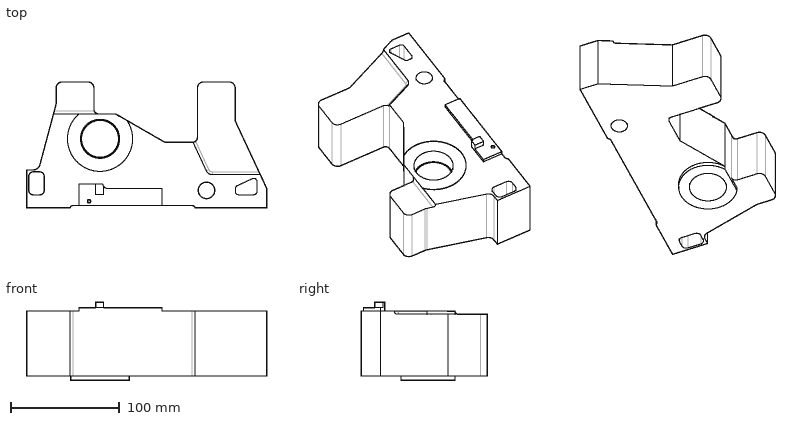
import cadquery as cq
import math

LENGTH = 221.0
DEPTH = 116.0
BODY_HEIGHT = 60.0
OVERRUN = 10.0

LEFT_SHOULDER_Y = 35.0
LEFT_SLOPE_ANGLE = 15.0
ARM_WIDTH = 35.0
LEFT_ARM_X = 27.0
RIGHT_ARM_X = 157.0
LEFT_STEP_Y = 86.5
LEFT_BEND_Y = 95.4
BACK_SLOPE_X = 81.9
BACK_SLOPE_ANGLE = 30.0
VALLEY_Y = 60.5
RIGHT_BEND_Y = 80.0
RIGHT_SLOPE_ANGLE = 25.0
ARM_TIP_RADIUS = 6.0
LEFT_SHOULDER_RADIUS = 6.0
LEFT_BEND_RADIUS = 8.0
ARM_ROOT_RADIUS = 4.0

RELIEF_X = (40.0, 155.0)
RELIEF_DEPTH = 2.0
RELIEF_RADIUS = 3.0

STEP_DEPTH = 3.0
STEP_FILLET = 2.5
RIGHT_STEP_Y = 30.5
RIGHT_STEP_CORNER_RADIUS = 6.0

BORE_CENTER = (67.5, 63.5)
BORE_DIAMETER = 36.0
BORE_LOWER_DIAMETER = 34.0
BORE_STEP_DEPTH = 15.0
SPOT_FACE_DIAMETER = 60.0
SPOT_FACE_DEPTH = 0.5
BOSS_DIAMETER = 54.0
BOSS_HEIGHT = 4.0

PLATE_X = (48.0, 124.6)
PLATE_WIDE_END_X = 70.0
PLATE_BACK_Y = 21.7
PLATE_NARROW_Y = 17.7
PLATE_HEIGHT = 3.0
PLATE_STEP_RADIUS = 5.0
TAB_X = (63.5, 70.8)
TAB_FRONT_Y = 12.4
TAB_HEIGHT = 5.0
TAP_HOLE_CENTER = (57.4, 6.0)
TAP_HOLE_DIAMETER = 2.46
TAP_HOLE_MOUTH_DIAMETER = 3.3
TAP_HOLE_DEPTH = 8.0
DRILL_POINT_ANGLE = 118.0

DOWEL_CENTER = (165.5, 16.0)
DOWEL_DIAMETER = 15.0
SLOT_X = (2.0, 16.0)
SLOT_Y = (12.0, 33.0)
SLOT_RADIUS = 4.0
POCKET_X = (192.0, 212.0)
POCKET_FRONT_Y = 12.0
POCKET_LEFT_BACK_Y = 19.5
POCKET_SLOPE_ANGLE = 25.0
POCKET_RADIUS = 3.0
POCKET_DEPTH = 30.0


def tan_deg(angle):
    return math.tan(math.radians(angle))


def prism(points, bottom, top):
    """Upright prism over a closed outline, between two heights."""
    return cq.Workplane("XY").workplane(offset=bottom).polyline(points).close().extrude(top - bottom)


def rectangle(x_range, y_range):
    """Corner points of a rectangle."""
    (x0, x1), (y0, y1) = x_range, y_range
    return [(x0, y0), (x1, y0), (x1, y1), (x0, y1)]


def round_corner(solid, corner, radius):
    """Fillet the upright edge that stands on a corner of the outline."""
    nearest = cq.selectors.NearestToPointSelector((corner[0], corner[1], BODY_HEIGHT / 2))
    return solid.edges("|Z").edges(nearest).fillet(radius)


def cylinder(center, diameter, bottom, top):
    """Upright cylinder between two heights."""
    base = cq.Workplane("XY").workplane(offset=bottom)
    return base.center(*center).circle(diameter / 2).extrude(top - bottom)


def body_block():
    """Full-height block over the whole outline, with its upright corners rounded."""
    left_bend = (LEFT_ARM_X, LEFT_BEND_Y)
    left_shoulder_x = LEFT_ARM_X - (LEFT_BEND_Y - LEFT_SHOULDER_Y) * tan_deg(LEFT_SLOPE_ANGLE)
    left_shoulder = (left_shoulder_x, LEFT_SHOULDER_Y)
    left_root = (LEFT_ARM_X + ARM_WIDTH, LEFT_STEP_Y)
    right_root = (RIGHT_ARM_X, VALLEY_Y)
    valley_x = BACK_SLOPE_X + (LEFT_STEP_Y - VALLEY_Y) / tan_deg(BACK_SLOPE_ANGLE)
    right_side_x = RIGHT_ARM_X + ARM_WIDTH
    right_end_y = RIGHT_BEND_Y - (LENGTH - right_side_x) / tan_deg(RIGHT_SLOPE_ANGLE)
    arm_tips = [
        (LEFT_ARM_X, DEPTH),
        (LEFT_ARM_X + ARM_WIDTH, DEPTH),
        (RIGHT_ARM_X, DEPTH),
        (right_side_x, DEPTH),
    ]
    points = [
        (0, 0),
        (LENGTH, 0),
        (LENGTH, right_end_y),
        (right_side_x, RIGHT_BEND_Y),
        arm_tips[3],
        arm_tips[2],
        right_root,
        (valley_x, VALLEY_Y),
        (BACK_SLOPE_X, LEFT_STEP_Y),
        left_root,
        arm_tips[1],
        arm_tips[0],
        left_bend,
        left_shoulder,
        (0, LEFT_SHOULDER_Y),
    ]
    solid = prism(points, 0, BODY_HEIGHT)
    for tip in arm_tips:
        solid = round_corner(solid, tip, ARM_TIP_RADIUS)
    for root in (left_root, right_root):
        solid = round_corner(solid, root, ARM_ROOT_RADIUS)
    solid = round_corner(solid, left_bend, LEFT_BEND_RADIUS)
    return round_corner(solid, left_shoulder, LEFT_SHOULDER_RADIUS)


def front_relief():
    """Cutter for the shallow relief; its two inner corners carry the cutting tool's radius."""
    bottom, top = -OVERRUN, BODY_HEIGHT + OVERRUN
    run = math.sqrt(RELIEF_RADIUS**2 - (RELIEF_RADIUS - RELIEF_DEPTH) ** 2)
    relief = prism(
        rectangle((RELIEF_X[0] + run, RELIEF_X[1] - run), (-OVERRUN, RELIEF_DEPTH)), bottom, top
    )
    for x in (RELIEF_X[0] + run, RELIEF_X[1] - run):
        tool_center = (x, RELIEF_DEPTH - RELIEF_RADIUS)
        relief = relief.union(cylinder(tool_center, 2 * RELIEF_RADIUS, bottom, top))
    return relief


def arm_steps():
    """Cutters that lower both arm tops, rounded along the foot of the step."""
    floor, top = BODY_HEIGHT - STEP_DEPTH, BODY_HEIGHT + OVERRUN
    back = DEPTH + OVERRUN
    left = prism(
        rectangle((-OVERRUN, LEFT_ARM_X + ARM_WIDTH + OVERRUN), (LEFT_STEP_Y, back)), floor, top
    )
    corner_x = RIGHT_ARM_X - ARM_ROOT_RADIUS + (VALLEY_Y - RIGHT_STEP_Y) * tan_deg(RIGHT_SLOPE_ANGLE)
    corner = (corner_x, RIGHT_STEP_Y)
    right_points = [
        corner,
        (LENGTH + OVERRUN, RIGHT_STEP_Y),
        (LENGTH + OVERRUN, back),
        (corner_x - (back - RIGHT_STEP_Y) * tan_deg(RIGHT_SLOPE_ANGLE), back),
    ]
    right = round_corner(prism(right_points, floor, top), corner, RIGHT_STEP_CORNER_RADIUS)
    return [step.faces("<Z").edges().fillet(STEP_FILLET) for step in (left, right)]


def plate_and_tab():
    """Raised plate on the top face with a small tab standing on it."""
    front_y = RELIEF_DEPTH
    drop = PLATE_BACK_Y - PLATE_NARROW_Y
    run = math.sqrt(PLATE_STEP_RADIUS**2 - (PLATE_STEP_RADIUS - drop) ** 2)
    arc_end_x = PLATE_WIDE_END_X + run
    half_angle = math.asin(run / PLATE_STEP_RADIUS) / 2
    arc_middle = (
        arc_end_x - PLATE_STEP_RADIUS * math.sin(half_angle),
        PLATE_NARROW_Y + PLATE_STEP_RADIUS * (1 - math.cos(half_angle)),
    )
    plate_outline = (
        cq.Workplane("XY")
        .workplane(offset=BODY_HEIGHT)
        .moveTo(PLATE_X[0], front_y)
        .lineTo(PLATE_X[1], front_y)
        .lineTo(PLATE_X[1], PLATE_NARROW_Y)
        .lineTo(arc_end_x, PLATE_NARROW_Y)
        .threePointArc(arc_middle, (PLATE_WIDE_END_X, PLATE_BACK_Y))
        .lineTo(PLATE_X[0], PLATE_BACK_Y)
        .close()
    )
    full = plate_outline.extrude(PLATE_HEIGHT + TAB_HEIGHT)
    plate_top = BODY_HEIGHT + PLATE_HEIGHT
    above_plate = prism(
        rectangle((0, LENGTH), (0, DEPTH)), plate_top, plate_top + TAB_HEIGHT + OVERRUN
    )
    tab_block = prism(rectangle(TAB_X, (TAB_FRONT_Y, PLATE_BACK_Y)), BODY_HEIGHT, plate_top + TAB_HEIGHT)
    return full.cut(above_plate.cut(tab_block))


def bore():
    """Stepped through bore with a shallow spot face round its mouth."""
    top = BODY_HEIGHT + OVERRUN
    lower = cylinder(BORE_CENTER, BORE_LOWER_DIAMETER, -BOSS_HEIGHT - OVERRUN, top)
    upper = cylinder(BORE_CENTER, BORE_DIAMETER, BODY_HEIGHT - BORE_STEP_DEPTH, top)
    spot_face = cylinder(BORE_CENTER, SPOT_FACE_DIAMETER, BODY_HEIGHT - SPOT_FACE_DEPTH, top)
    return lower.union(upper).union(spot_face)


def slot():
    """Rounded through slot near the left end."""
    block = prism(rectangle(SLOT_X, SLOT_Y), -OVERRUN, BODY_HEIGHT + OVERRUN)
    return block.edges("|Z").fillet(SLOT_RADIUS)


def pocket():
    """Blind pocket with a slanted back wall near the right end."""
    right_back_y = POCKET_LEFT_BACK_Y + (POCKET_X[1] - POCKET_X[0]) * tan_deg(POCKET_SLOPE_ANGLE)
    points = [
        (POCKET_X[0], POCKET_FRONT_Y),
        (POCKET_X[1], POCKET_FRONT_Y),
        (POCKET_X[1], right_back_y),
        (POCKET_X[0], POCKET_LEFT_BACK_Y),
    ]
    block = prism(points, BODY_HEIGHT - POCKET_DEPTH, BODY_HEIGHT + OVERRUN)
    return block.edges("|Z").fillet(POCKET_RADIUS)


def tap_hole():
    """Blind countersunk hole with a conical end, in the raised plate."""
    mouth = BODY_HEIGHT + PLATE_HEIGHT
    radius = TAP_HOLE_DIAMETER / 2
    point_depth = radius / tan_deg(DRILL_POINT_ANGLE / 2)
    mouth_radius = TAP_HOLE_MOUTH_DIAMETER / 2
    profile = [
        (0, mouth),
        (mouth_radius, mouth),
        (radius, mouth - (mouth_radius - radius)),
        (radius, mouth - TAP_HOLE_DEPTH),
        (0, mouth - TAP_HOLE_DEPTH - point_depth),
    ]
    drill = cq.Workplane("XZ").polyline(profile).close().revolve(360, (0, 0), (0, 1))
    return drill.translate((*TAP_HOLE_CENTER, 0))


def build():
    body = body_block()
    for step in arm_steps():
        body = body.cut(step)

    boss = cylinder(BORE_CENTER, BOSS_DIAMETER, -BOSS_HEIGHT, 0)
    body_footprint = prism(rectangle((0, LENGTH), (0, LEFT_STEP_Y)), -BOSS_HEIGHT, 0)
    body = body.union(boss.intersect(body_footprint))

    body = body.union(plate_and_tab())
    dowel_hole = cylinder(DOWEL_CENTER, DOWEL_DIAMETER, -OVERRUN, BODY_HEIGHT + OVERRUN)
    for cutter in (front_relief(), bore(), slot(), pocket(), tap_hole(), dowel_hole):
        body = body.cut(cutter)
    return body


result = build()